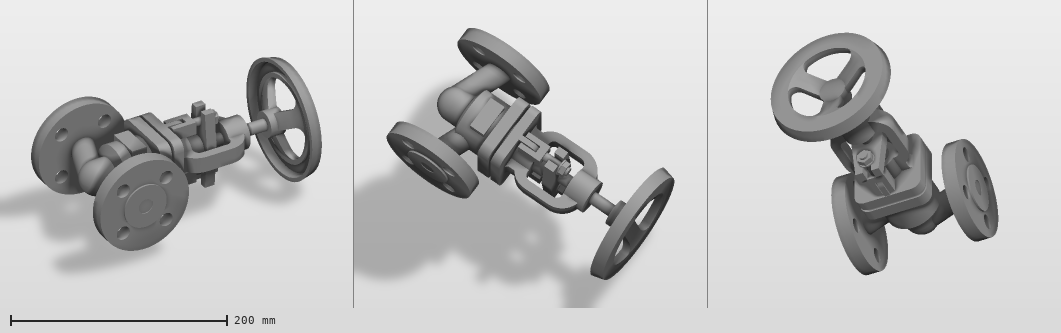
import cadquery as cq
import math


face_to_face = 130.0
flange_radius = 47.5
flange_thickness = 14.0
raised_face_radius = 22.5
raised_face_height = 2.0
bore_radius = 7.5
bore_depth = 0.7
bolt_circle_radius = 32.5
bolt_hole_radius = 7.0
bolt_hole_count = 4
first_bolt_angle = 180 / bolt_hole_count
flange_outer_x = face_to_face / 2 - raised_face_height
flange_inner_x = flange_outer_x - flange_thickness

body_radius = 27.5
bulb_radius = 17.1
bulb_center_y = -14.2
cone_bottom_y = -1.7
cone_top_y = 3.0
body_top_y = 34.8
pipe_radius = 12.0
pipe_angle = 21
pipe_length = 58
pipe_overlap = 7.2
plate_width = 33.3
plate_bottom_y = 14.0
plate_top_y = 29.7
plate_top_z = 29.0

cover_width = 67.3
cover_corner_radius = 10.1
body_flange_top_y = 46.5
joint_step_y = 47.3
cover_bottom_y = 49.5
cover_top_y = 59.5
joint_upper_radius = 26.8
joint_lower_radius = 25.0

collar_radius = 16.7
collar_bottom_y = 118.7
collar_top_y = 141.2
neck_top_y = 79.6
yoke_thickness = 16.2
yoke_half_width = 31.4
yoke_foot_half_width = 22.7
yoke_foot_y = 68.8
yoke_foot_fillet = 3.9
yoke_side_bottom_y = 86.0
yoke_side_top_y = 113.0
yoke_shoulder_radius = 23.0
window_half_width = 22.7
window_corner_radius = 6.0

stem_radius = 6.0
gland_radius = 10.5
bridge_bottom_y = 94.8
bridge_top_y = 105.2
bridge_half_length = 39.8
bridge_middle_half_width = 16.0
bridge_end_half_width = 11.8

bolt_z = 26.3
bolt_radius = 4.3
bolt_top_y = 114.5
washer_radius = 8.2
washer_top_y = 106.7
nut_top_y = 112.0
nut_corner_diameter = 15.5
eye_width = 17.5
eye_depth = 13.0
eye_bottom_y = 62.7
eye_top_y = 87.4
eye_slot_width = 7.2
lug_width = 5.3
lug_top_z = 33.3
lug_corner_radius = 7.5

wheel_diameter = 120.0
wheel_radius = wheel_diameter / 2
wheel_bottom_y = 181.7
wheel_top_y = 193.8
rim_top_radius = 57.0
rim_inner_radius = 56.0
web_outer_radius = 53.5
web_bottom_y = 189.5
ring_outer_radius = 44.5
ring_inner_radius = 39.5
ring_bottom_y = 185.8
hub_radius = 13.0
hub_bottom_y = 165.5
hub_shoulder_y = 172.8
hub_top_y = wheel_bottom_y
spoke_count = 3
spoke_width = 17.0
first_spoke_angle = 30
spoke_window_fillet = 7.0


def cylinder_y(radius, start_y, end_y, z=0):
    """Cylinder along Y, centred on X = 0."""
    base = cq.Workplane("XZ", origin=(0, start_y, z))
    return base.circle(radius).extrude(start_y - end_y)


def box_between(width_x, start_y, end_y, start_z, end_z):
    """Box centred on X = 0."""
    box = cq.Workplane().box(width_x, end_y - start_y, end_z - start_z)
    return box.translate((0, (start_y + end_y) / 2, (start_z + end_z) / 2))


def make_flange(side):
    """Round pipe flange on the -X side (side = -1) or the +X side (side = 1)."""
    plate = cq.Workplane("YZ", origin=(flange_inner_x, 0, 0))
    flange = plate.circle(flange_radius).extrude(flange_thickness)
    flange = flange.union(
        plate.circle(raised_face_radius).extrude(flange_thickness + raised_face_height)
    )
    holes = plate.polarArray(bolt_circle_radius, first_bolt_angle, 360, bolt_hole_count)
    flange = flange.cut(holes.circle(bolt_hole_radius).extrude(flange_thickness))
    bore = cq.Workplane("YZ", origin=(face_to_face / 2, 0, 0)).circle(bore_radius).extrude(-bore_depth)
    flange = flange.cut(bore)
    return flange if side > 0 else flange.mirror("YZ")


def make_pipe(side):
    """Slanting pipe from a flange towards the stem axis; it falls from -X to +X."""
    angle = math.radians(pipe_angle)
    axis = cq.Vector(-side * math.cos(angle), side * math.sin(angle), 0)
    start = cq.Vector(side * flange_inner_x, 0, 0) - axis * pipe_overlap
    return cq.Workplane(cq.Solid.makeCylinder(pipe_radius, pipe_length, start, axis))


def make_body():
    """Bulb, cone and barrel turned about Y, with a raised plate on top."""
    bulb_bottom_y = bulb_center_y - bulb_radius
    arc_offset = bulb_radius * math.sqrt(0.5)
    profile = (
        cq.Workplane()
        .moveTo(0, bulb_bottom_y)
        .threePointArc((arc_offset, bulb_center_y - arc_offset), (bulb_radius, bulb_center_y))
        .lineTo(bulb_radius, cone_bottom_y)
        .lineTo(body_radius, cone_top_y)
        .lineTo(body_radius, body_top_y)
        .lineTo(0, body_top_y)
        .close()
    )
    body = profile.revolve(360, (0, 0, 0), (0, 1, 0))
    return body.union(box_between(plate_width, plate_bottom_y, plate_top_y, 0, plate_top_z))


def make_cover_flange(bottom_y, top_y):
    """Square flange with rounded corners."""
    half = cover_width / 2
    return box_between(cover_width, bottom_y, top_y, -half, half).edges("|Y").fillet(cover_corner_radius)


def make_cover():
    """Both square flanges and the stepped round joint between them."""
    cover = make_cover_flange(body_top_y, body_flange_top_y)
    cover = cover.union(cylinder_y(joint_lower_radius, body_flange_top_y, joint_step_y))
    cover = cover.union(cylinder_y(joint_upper_radius, joint_step_y, cover_bottom_y))
    return cover.union(make_cover_flange(cover_bottom_y, cover_top_y))


def make_yoke_arms():
    """Flat yoke with round shoulders and a rounded window."""
    shoulder_center_x = yoke_half_width - yoke_shoulder_radius
    shoulder_offset = yoke_shoulder_radius * math.sqrt(0.5)
    shoulder_middle = (shoulder_center_x + shoulder_offset, yoke_side_top_y + shoulder_offset)
    shoulder_top_y = yoke_side_top_y + yoke_shoulder_radius
    fillet_start_y = cover_top_y + yoke_foot_fillet
    half_outline = (
        cq.Workplane(origin=(0, 0, -yoke_thickness / 2))
        .moveTo(shoulder_center_x, shoulder_top_y)
        .threePointArc(shoulder_middle, (yoke_half_width, yoke_side_top_y))
        .lineTo(yoke_half_width, yoke_side_bottom_y)
        .tangentArcPoint((yoke_foot_half_width, yoke_foot_y), relative=False)
        .lineTo(yoke_foot_half_width, fillet_start_y)
        .tangentArcPoint((yoke_foot_half_width + yoke_foot_fillet, cover_top_y), relative=False)
        .lineTo(0, cover_top_y)
        .lineTo(0, shoulder_top_y)
        .close()
    )
    half = half_outline.extrude(yoke_thickness)
    arms = half.union(half.mirror("YZ"))
    window = box_between(
        2 * window_half_width, neck_top_y, collar_bottom_y, -yoke_thickness / 2, yoke_thickness / 2
    )
    return arms.cut(window.edges("|Z").fillet(window_corner_radius))


def make_yoke():
    """Yoke arms with the neck below and the collar above."""
    yoke = make_yoke_arms()
    yoke = yoke.union(cylinder_y(collar_radius, cover_top_y, neck_top_y))
    return yoke.union(cylinder_y(collar_radius, collar_bottom_y, collar_top_y))


def make_gland():
    """Packing gland and its six-sided bridge, slotted at both ends for the bolts."""
    half_bridge = [
        (bridge_end_half_width, -bridge_half_length),
        (bridge_middle_half_width, 0),
        (bridge_end_half_width, bridge_half_length),
    ]
    other_half = [(-x, -z) for x, z in half_bridge]
    bridge = (
        cq.Workplane("XZ", origin=(0, bridge_bottom_y, 0))
        .polyline(half_bridge + other_half)
        .close()
        .extrude(bridge_bottom_y - bridge_top_y)
    )
    slot = box_between(2 * bolt_radius, bridge_bottom_y, bridge_top_y, bolt_z, bridge_half_length)
    bridge = bridge.cut(slot).cut(slot.mirror("XY"))
    return bridge.union(cylinder_y(gland_radius, neck_top_y, bridge_bottom_y))


def make_swing_bolt():
    """Bolt on the +Z side with nut, washer, forked eye and the lug that carries it."""
    eye_bottom_z = bolt_z - eye_depth / 2
    eye_top_z = bolt_z + eye_depth / 2
    eye = box_between(eye_width, eye_bottom_y, eye_top_y, eye_bottom_z, eye_top_z)
    eye = eye.cut(box_between(eye_slot_width, eye_bottom_y, neck_top_y, eye_bottom_z, eye_top_z))
    lug = box_between(lug_width, cover_top_y, neck_top_y, 0, lug_top_z)
    lug = lug.edges(">Y and >Z").fillet(lug_corner_radius)
    nut = (
        cq.Workplane("XZ", origin=(0, washer_top_y, bolt_z))
        .polygon(6, nut_corner_diameter)
        .extrude(washer_top_y - nut_top_y)
        .rotate((0, 0, bolt_z), (0, 1, bolt_z), 30)
    )
    bolt = cylinder_y(bolt_radius, eye_top_y, bolt_top_y, bolt_z)
    washer = cylinder_y(washer_radius, bridge_top_y, washer_top_y, bolt_z)
    return eye.union(lug).union(bolt).union(washer).union(nut)


def make_spoke_windows():
    """Openings between the spokes, with rounded outer corners."""
    openings = cylinder_y(ring_inner_radius, hub_shoulder_y, wheel_top_y)
    spoke = box_between(spoke_width, hub_shoulder_y, wheel_top_y, 0, ring_outer_radius)
    spoke = spoke.rotate((0, 0, 0), (0, 1, 0), 90)
    for index in range(spoke_count):
        openings = openings.cut(spoke.rotate((0, 0, 0), (0, 1, 0), index * 360 / spoke_count))
    middle_radius = ring_inner_radius / 2
    outer_corners = openings.edges("|Y").filter(
        lambda edge: math.hypot(edge.Center().x, edge.Center().z) > middle_radius
    )
    return outer_corners.fillet(spoke_window_fillet).rotate((0, 0, 0), (0, 1, 0), -first_spoke_angle)


def make_handwheel():
    """Rim, web and dished spokes turned about Y, opened between the spokes, and the hub."""
    profile = [
        (0, hub_shoulder_y),
        (hub_radius, hub_shoulder_y),
        (ring_inner_radius, ring_bottom_y),
        (ring_outer_radius, ring_bottom_y),
        (ring_outer_radius, web_bottom_y),
        (web_outer_radius, web_bottom_y),
        (rim_inner_radius, wheel_bottom_y),
        (wheel_radius, wheel_bottom_y),
        (rim_top_radius, wheel_top_y),
        (ring_inner_radius, wheel_top_y),
        (hub_radius, hub_top_y),
        (0, hub_top_y),
    ]
    wheel = cq.Workplane().polyline(profile).close().revolve(360, (0, 0, 0), (0, 1, 0))
    wheel = wheel.cut(make_spoke_windows())
    return wheel.union(cylinder_y(hub_radius, hub_bottom_y, hub_top_y))


result = make_body()
for side in (-1, 1):
    result = result.union(make_pipe(side)).union(make_flange(side))
result = result.union(make_cover()).union(make_yoke()).union(make_gland())
swing_bolt = make_swing_bolt()
result = result.union(swing_bolt).union(swing_bolt.mirror("XY"))
result = result.union(cylinder_y(stem_radius, bridge_bottom_y, hub_shoulder_y))
result = result.union(make_handwheel())